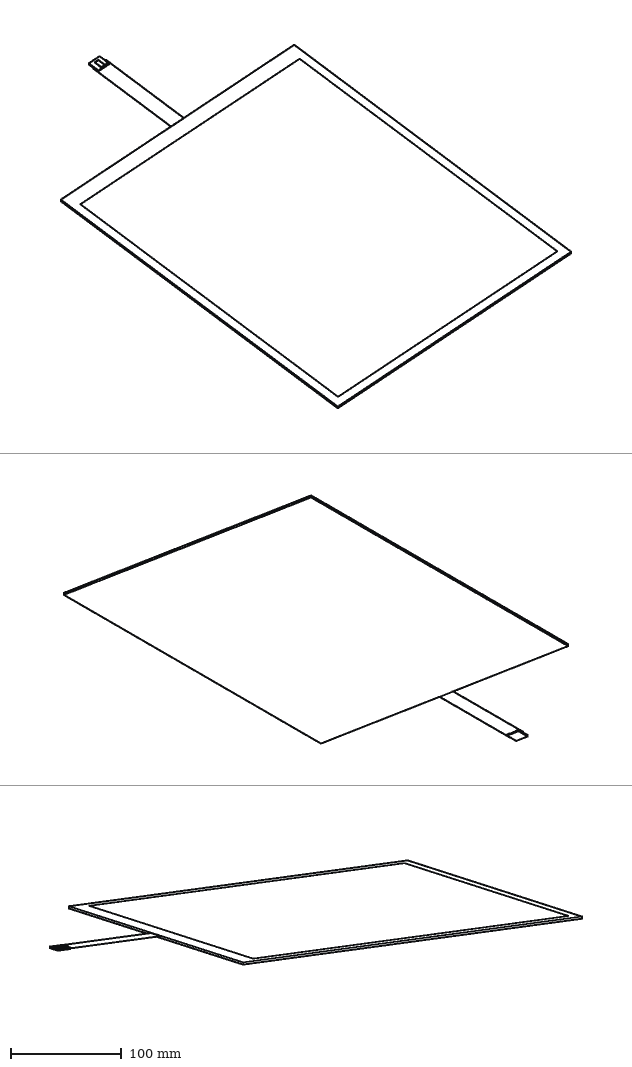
import cadquery as cq

overall_length = 475.41
overall_width = 290.18
overall_height = 3.15
x_left = -overall_length / 2
x_right = overall_length / 2
z_bottom = -overall_height / 2
z_top = overall_height / 2

panel_length = 365.5
panel_thickness = 2.2
panel_left = x_right - panel_length
panel_top = z_bottom + panel_thickness
window_margin_left = 16.5
window_margin_right = 9.0
window_margin_side = 8.8
window_depth = 0.1

tail_width = 16.0
tail_thickness = 0.3
tail_depth_below_top = 0.15
tail_top = panel_top - tail_depth_below_top
tail_bottom = tail_top - tail_thickness
tail_insertion_setback = 7.5
tail_start = x_left + tail_insertion_setback
tail_overlap = 2.0

housing_length = 13.0
housing_width = 13.4
housing_rise_above_panel = 0.3
housing_drop_below_tail = 0.9
housing_top = panel_top + housing_rise_above_panel
housing_bottom = tail_bottom - housing_drop_below_tail
housing_right = x_left + housing_length

tongue_setback = 3.2
tongue_left = x_left + tongue_setback
tongue_width = 4.4
heel_step = 0.1
tongue_top = z_top - heel_step
heel_length = 1.1
heel_width = 7.2
heel_left = housing_right - heel_length


def block(x_min, x_max, width, z_min, z_max):
    """Box centred on Y = 0, given by its X and Z limits and its Y width."""
    return (
        cq.Workplane("XY", origin=((x_min + x_max) / 2, 0, z_min))
        .rect(x_max - x_min, width)
        .extrude(z_max - z_min)
    )


def make_panel():
    panel = block(panel_left, x_right, overall_width, z_bottom, panel_top)
    window = block(
        panel_left + window_margin_left,
        x_right - window_margin_right,
        overall_width - 2 * window_margin_side,
        panel_top - window_depth,
        panel_top,
    )
    return panel.cut(window)


def make_tail():
    return block(tail_start, panel_left + tail_overlap, tail_width, tail_bottom, tail_top)


def make_connector():
    housing = block(x_left, housing_right, housing_width, housing_bottom, housing_top)
    tongue = block(tongue_left, housing_right, tongue_width, housing_top, tongue_top)
    heel = block(heel_left, housing_right, heel_width, housing_top, z_top)
    return housing.union(tongue).union(heel)


result = make_panel().union(make_tail()).union(make_connector())